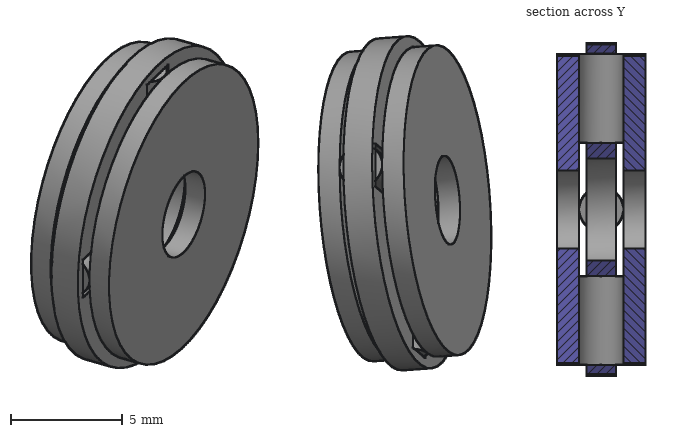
import cadquery as cq

CAGE_DIAMETER = 15.0
CAGE_THICKNESS = 1.35
CAGE_BORE_DIAMETER = 5.0
WASHER_DIAMETER = 14.0
WASHER_THICKNESS = 1.0
WASHER_BORE_DIAMETER = 4.0
ROLLER_DIAMETER = 2.0
ROLLER_INNER_RADIUS = 3.0
ROLLER_COUNT = 4

ROLLER_OUTER_RADIUS = WASHER_DIAMETER / 2
ROLLER_LENGTH = ROLLER_OUTER_RADIUS - ROLLER_INNER_RADIUS
roller_angles = [i * 360.0 / ROLLER_COUNT for i in range(ROLLER_COUNT)]


def make_ring(outer_diameter, bore_diameter, thickness, start_x):
    """Bored disc that extends from start_x in the +X direction."""
    return (
        cq.Workplane("YZ", origin=(start_x, 0, 0))
        .circle(outer_diameter / 2)
        .circle(bore_diameter / 2)
        .extrude(thickness)
    )


def make_roller(angle):
    """Cylinder lying along a radius, turned about X from the +Z direction."""
    roller = (
        cq.Workplane("XY", origin=(0, 0, ROLLER_INNER_RADIUS))
        .circle(ROLLER_DIAMETER / 2)
        .extrude(ROLLER_LENGTH)
    )
    return roller.rotate((0, 0, 0), (1, 0, 0), angle)


def make_pocket(angle):
    """Square-sided cutter as wide and as long as one roller."""
    pocket = (
        cq.Workplane("XY", origin=(0, 0, ROLLER_INNER_RADIUS))
        .rect(ROLLER_DIAMETER, ROLLER_DIAMETER)
        .extrude(ROLLER_LENGTH)
    )
    return pocket.rotate((0, 0, 0), (1, 0, 0), angle)


def make_cage():
    """Central ring with a rectangular through pocket for each roller."""
    cage = make_ring(CAGE_DIAMETER, CAGE_BORE_DIAMETER, CAGE_THICKNESS, -CAGE_THICKNESS / 2)
    for angle in roller_angles:
        cage = cage.cut(make_pocket(angle))
    return cage


race_x = ROLLER_DIAMETER / 2
left_washer = make_ring(WASHER_DIAMETER, WASHER_BORE_DIAMETER, WASHER_THICKNESS, -race_x - WASHER_THICKNESS)
right_washer = make_ring(WASHER_DIAMETER, WASHER_BORE_DIAMETER, WASHER_THICKNESS, race_x)

rollers = [make_roller(angle) for angle in roller_angles]
cage = make_cage()

result = cq.Compound.makeCompound(
    [left_washer.val(), right_washer.val(), cage.val(), *[roller.val() for roller in rollers]]
)